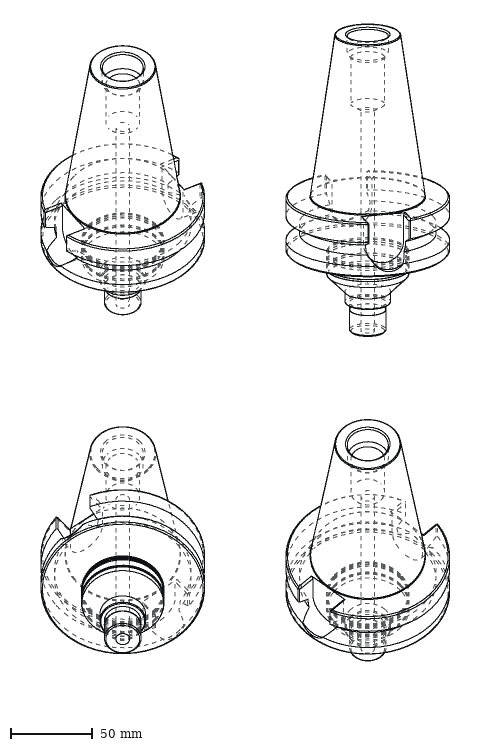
import cadquery as cq
import math

flange_bottom_z = 51.7
tip_chamfer = 1.0
pilot_step_z = 13.8
relief_z = 17.0
collar_bottom_z = 18.4
collar_top_z = 25.5
cone_top_z = 36.5
body_edge_height = 1.0
collar_chamfer = 0.5
groove_spans = [(40.4, 41.7), (47.6, 49.2), (50.7, flange_bottom_z)]
flange_top_z = 86.7
gauge_z = 88.5
taper_foot_height = 0.5
overall_length = 191.3

tip_diameter = 20.7
pilot_diameter = 22.4
relief_diameter = 22.0
collar_diameter = 28.0
body_diameter = 50.5
groove_diameter = 50.0
flange_diameter = 100.0
taper_diameter = 69.8
taper_foot_diameter = 70.5
taper_top_diameter = 40.4
taper_top_chamfer = 0.5
flange_chamfer = 1.0

v_diameter = 83.6
v_lower_edge_z = 58.7
v_floor_bottom_z = 63.1
v_floor_top_z = 69.6
v_upper_edge_z = 74.0

slot_width = 25.3
slot_floor_y = 35.4
slot_bottom_z = 55.7
slot_rim_chamfer = 1.0
slot_top_chamfer = 1.3

bore_diameter = 25.0
bore_mouth_diameter = 27.2
bore_depth = 12.5
thread_diameter = 20.7
thread_depth = 45.0
through_diameter = 8.5
drill_point_angle = 118


def revolve_profile(points):
    """Revolve (diameter, z) stations around the Z axis."""
    outline = [(diameter / 2, z) for diameter, z in points]
    outline = [(0, outline[0][1])] + outline + [(0, outline[-1][1])]
    return cq.Workplane("XZ").polyline(outline).close().revolve(360, (0, 0, 0), (0, 1, 0))


def make_flange():
    rim = flange_diameter - 2 * flange_chamfer
    return revolve_profile([
        (rim, flange_bottom_z),
        (flange_diameter, flange_bottom_z + flange_chamfer),
        (flange_diameter, v_lower_edge_z),
        (v_diameter, v_floor_bottom_z),
        (v_diameter, v_floor_top_z),
        (flange_diameter, v_upper_edge_z),
        (flange_diameter, flange_top_z - flange_chamfer),
        (rim, flange_top_z),
    ])


def make_taper():
    return revolve_profile([
        (taper_foot_diameter, v_floor_top_z),
        (taper_foot_diameter, flange_top_z),
        (taper_diameter, flange_top_z + taper_foot_height),
        (taper_diameter, gauge_z),
        (taper_top_diameter, overall_length - taper_top_chamfer),
        (taper_top_diameter - 2 * taper_top_chamfer, overall_length),
    ])


def make_nose():
    nose = revolve_profile([
        (tip_diameter, 0),
        (pilot_diameter, tip_chamfer),
        (pilot_diameter, pilot_step_z),
        (relief_diameter, pilot_step_z),
        (relief_diameter, relief_z),
        (pilot_diameter, collar_bottom_z),
        (collar_diameter - 2 * collar_chamfer, collar_bottom_z),
        (collar_diameter, collar_bottom_z + collar_chamfer),
        (collar_diameter, collar_top_z),
        (groove_diameter, cone_top_z),
        (body_diameter, cone_top_z + body_edge_height),
        (body_diameter, flange_bottom_z),
    ])
    for bottom_z, top_z in groove_spans:
        ring = (
            cq.Workplane("XY").workplane(offset=bottom_z)
            .circle(flange_diameter / 2).circle(groove_diameter / 2).extrude(top_z - bottom_z)
        )
        nose = nose.cut(ring)
    return nose


def make_slot():
    """Round-ended drive slot on the -Y side, with flared edges on the rim and top face."""
    radius = slot_width / 2
    center_z = slot_bottom_z + radius
    height = flange_top_z - center_z
    rim_y = flange_diameter / 2

    def arch(half_width, outer_y):
        return (
            cq.Workplane("XZ", origin=(0, -outer_y, center_z))
            .moveTo(-half_width, height)
            .lineTo(-half_width, 0)
            .threePointArc((0, -half_width), (half_width, 0))
            .lineTo(half_width, height)
            .close()
        )

    slot = arch(radius, slot_floor_y).extrude(rim_y - slot_floor_y)
    flare_angle = 45
    flare = arch(radius + slot_rim_chamfer, rim_y).extrude(-slot_rim_chamfer, taper=flare_angle)
    wide_radius = radius + slot_top_chamfer
    top_flare = (
        cq.Workplane("XZ", origin=(0, -slot_floor_y, flange_top_z))
        .polyline([
            (-radius, -slot_top_chamfer),
            (-wide_radius, 0),
            (wide_radius, 0),
            (radius, -slot_top_chamfer),
        ])
        .close().extrude(rim_y - slot_floor_y)
    )
    wall_edge_y = math.sqrt(rim_y ** 2 - radius ** 2)
    inner_y = wall_edge_y - slot_rim_chamfer
    outer_half_width = radius + rim_y - inner_y
    wall_flare = (
        cq.Workplane("XY", origin=(0, 0, v_floor_top_z))
        .polyline([
            (-radius, -inner_y),
            (-outer_half_width, -rim_y),
            (outer_half_width, -rim_y),
            (radius, -inner_y),
        ])
        .close().extrude(flange_top_z - v_floor_top_z)
    )
    return slot.union(flare).union(wall_flare).union(top_flare)


def make_bore():
    mouth_depth = (bore_mouth_diameter - bore_diameter) / 2
    seat_depth = (bore_diameter - thread_diameter) / 2
    point_depth = (thread_diameter - through_diameter) / 2 / math.tan(math.radians(drill_point_angle / 2))
    return revolve_profile([
        (through_diameter, 0),
        (through_diameter, overall_length - thread_depth - point_depth),
        (thread_diameter, overall_length - thread_depth),
        (thread_diameter, overall_length - bore_depth - seat_depth),
        (bore_diameter, overall_length - bore_depth),
        (bore_diameter, overall_length - mouth_depth),
        (bore_mouth_diameter, overall_length),
    ])


front_slot = make_slot()
back_slot = front_slot.rotate((0, 0, 0), (0, 0, 1), 180)
flange = make_flange().cut(front_slot).cut(back_slot)

result = make_nose().union(flange).union(make_taper()).cut(make_bore())